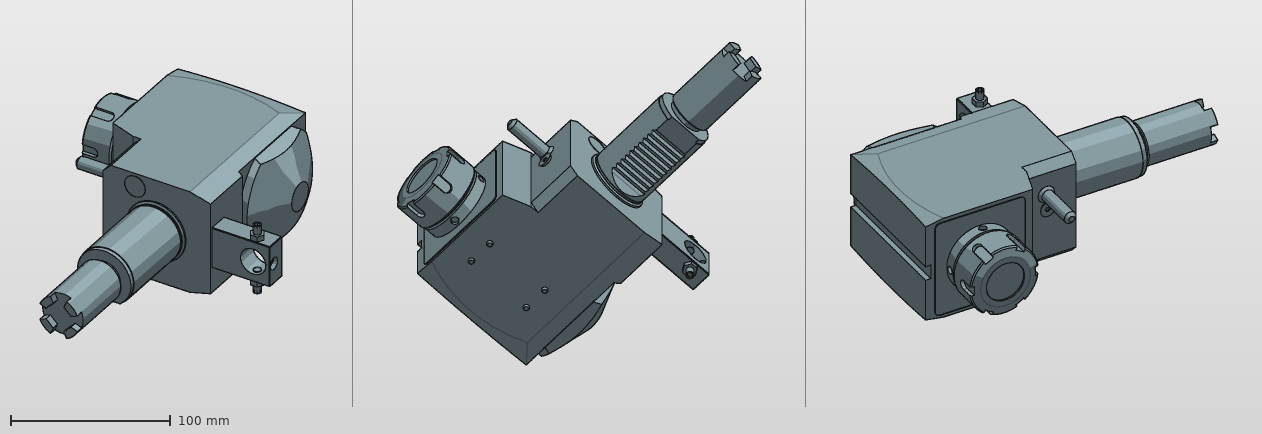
import cadquery as cq
import math


overall_length = 236.5
overall_height = 76.6

housing_height = 75.0
half_height = housing_height / 2
back_y = 119.5
left_x = -58.2
right_x = 35.7
base_half_width = 39.5
head_left_y = 42.0
base_top_left_y = 35.7
head_right_y = 40.0
base_top_right_y = 37.8
base_chamfer = 6.0
bevel_angle = math.radians(15)
bevel_start_x = 24.4
crown_center = (-17.0, 7.8)
crown_radius = 107.0
crown_angle = math.radians(10.5)
crown_reach = 47.3
back_groove_width = 10.2
back_groove_depth = 3.8
plug_center = (-16.0, 27.7)
plug_radius = 7.5
plug_recess = 0.2

spindle_y = 80.7

plate_front_y = 47.8
plate_back_y = 112.8
plate_half_height = 34.8
plate_corner = 3.5
plate_thickness = 0.7

nut_face_x = -91.0
nut_edge_x = -90.0
nut_rear_x = -69.5
nut_chamfer_x = -68.4
collar_front_x = -66.7
nut_radius = 24.8
nut_rear_radius = 24.0
nut_face_radius = 18.0
nut_edge_round = 1.0
neck_radius = 20.3
collar_radius = 24.0
collet_radius = 13.7
collet_recess = 1.2
nut_slot_count = 6
nut_slot_width = 6.6
nut_slot_end_x = -77.8
nut_long_slot_end_x = -73.8
nut_long_slots = (4, 5)
nut_slot_depth = 2.8
collar_hole_count = 4
collar_hole_radius = 2.5
collar_hole_depth = 2.8
collar_hole_x = -62.7

cap_radius = 40.2
cap_cone_x = 41.5
cap_tip_x = 55.5
cap_tip_radius = 10.0
cap_flat = 31.0
cap_flat_edge_x = 46.4

flange_radius = 21.5
flange_rim = 1.2
flange_length = 2.1
relief_end = 3.5
relief_radius = 19.6
shank_radius = 20.0
shank_end = 62.7
shank_tail = 3.0
shank_tail_radius = 19.6
shaft_neck_radius = 12.0
shaft_start = 66.2
shaft_radius = 15.0
shaft_chamfer = 0.7
shaft_end = 112.0
dog_end = overall_length - back_y
dog_inner_radius = 10.0
dog_half_angle = math.radians(22)
dog_count = 4

flat_depth_z = 15.8
tooth_start = 9.0
tooth_count = 10
tooth_pitch = 4.0
tooth_depth = 1.2

pin_y = 21.5
pin_z = 15.5
pin_radius = 4.3
pin_tip_x = -71.5
pin_chamfer = 2.1
pin_collar_radius = 6.0
screw_z = 5.2
screw_radius = 5.2
screw_neck_radius = 4.0
screw_socket = 3.3
screw_socket_depth = 1.0
head_height = 2.0

bracket_end_x = 82.0
bracket_y = (1.7, 16.5)
bracket_half_height = 15.0
bracket_edge = 0.5
bracket_bore_x = 69.8
bracket_bore_radius = 9.2
clamp_y = 6.6
end_hole_radius = 4.3
clamp_radius = 2.5
clamp_end_z = 25.0
clamp_tip_z = 8.5
clamp_socket = 3.8
clamp_socket_depth = 2.0
clamp_nut_across_corners = 9.7
clamp_nut_top_z = 18.7

button_center_x = -16.8
button_spacing = (47.3, 16.8)
button_radius = 2.1
button_tip_radius = 1.5
button_height = overall_height - housing_height

hexagon_sides = 6
overlap = 2.4


def revolve_x(profile, y, z):
    """Revolve (x, radius) points about the line along X through (y, z)."""
    solid = cq.Workplane("XY").polyline(profile).close().revolve(360, (0, 0, 0), (1, 0, 0))
    return solid.translate((0, y, z))


def housing():
    outline = [
        (-base_half_width, 0),
        (base_half_width, 0),
        (base_half_width, base_top_right_y),
        (right_x, head_right_y),
        (right_x, back_y),
        (left_x, back_y),
        (left_x, head_left_y),
        (-base_half_width, base_top_left_y),
    ]
    body = cq.Workplane("XY").polyline(outline).close().extrude(half_height, both=True)

    bevel_run = base_half_width + overlap - bevel_start_x
    right_bevel = (
        cq.Workplane("XZ")
        .polyline([
            (bevel_start_x, half_height),
            (bevel_start_x + bevel_run, half_height),
            (bevel_start_x + bevel_run, half_height - bevel_run * math.tan(bevel_angle)),
        ])
        .close()
        .extrude(-back_y)
    )
    base_bevel = (
        cq.Workplane("XZ")
        .polyline([
            (-base_half_width, half_height),
            (-base_half_width + base_chamfer, half_height),
            (-base_half_width, half_height - base_chamfer),
        ])
        .close()
        .extrude(-base_top_left_y)
    )
    crown_bevel = (
        cq.Workplane("XZ")
        .polyline([
            (crown_radius, half_height),
            (crown_radius + crown_reach, half_height),
            (crown_radius + crown_reach, half_height - crown_reach * math.tan(crown_angle)),
        ])
        .close()
        .revolve(360, (0, 0, 0), (0, 1, 0))
        .translate((*crown_center, 0))
    )
    for bevel in (right_bevel, base_bevel, crown_bevel):
        body = body.cut(bevel).cut(bevel.mirror("XY"))

    groove = cq.Workplane("XY").box(
        right_x - left_x, 2 * back_groove_depth, back_groove_width
    ).translate(((left_x + right_x) / 2, back_y, 0))
    plug = cq.Workplane("XZ").center(*plug_center).circle(plug_radius).extrude(-plug_recess)
    return body.cut(groove).cut(plug)


def face_plate():
    plate = cq.Workplane("XY").box(
        plate_thickness + overlap, plate_back_y - plate_front_y, 2 * plate_half_height
    ).edges("|X").fillet(plate_corner)
    return plate.translate((
        left_x + (overlap - plate_thickness) / 2,
        (plate_front_y + plate_back_y) / 2,
        0,
    ))


def collet_nut():
    root_x = left_x + overlap
    nut = revolve_x([
        (nut_face_x + collet_recess, 0),
        (nut_face_x + collet_recess, collet_radius),
        (nut_face_x, collet_radius),
        (nut_face_x, nut_face_radius),
        (nut_edge_x, nut_radius - nut_edge_round),
        (nut_edge_x + nut_edge_round, nut_radius),
        (nut_rear_x, nut_radius),
        (nut_chamfer_x, nut_rear_radius),
        (nut_chamfer_x, neck_radius),
        (collar_front_x, neck_radius),
        (collar_front_x, collar_radius),
        (root_x, collar_radius),
        (root_x, 0),
    ], 0, 0)

    slot_step = 360 / nut_slot_count
    for i in range(nut_slot_count):
        end_x = nut_long_slot_end_x if i in nut_long_slots else nut_slot_end_x
        nut = nut.cut(nut_slot(end_x).rotate((0, 0, 0), (1, 0, 0), i * slot_step))

    hole = (
        cq.Workplane("XZ", origin=(0, collar_hole_depth - collar_radius, 0))
        .center(collar_hole_x, 0)
        .circle(collar_hole_radius)
        .extrude(collar_hole_depth + overlap)
    )
    for i in range(collar_hole_count):
        nut = nut.cut(hole.rotate((0, 0, 0), (1, 0, 0), i * 360 / collar_hole_count))
    return nut.translate((0, spindle_y, 0))


def nut_slot(end_x):
    """Cutter for a round-ended spanner slot on the -Y side of the nut, open to the nut face."""
    slot_center_x = end_x - nut_slot_width / 2
    slot_open_x = nut_face_x - overlap
    return (
        cq.Workplane("XZ", origin=(0, nut_slot_depth - nut_radius, 0))
        .moveTo(slot_open_x, -nut_slot_width / 2)
        .lineTo(slot_center_x, -nut_slot_width / 2)
        .threePointArc((end_x, 0), (slot_center_x, nut_slot_width / 2))
        .lineTo(slot_open_x, nut_slot_width / 2)
        .close()
        .extrude(nut_slot_depth + overlap)
    )


def cap():
    root_x = right_x - overlap
    cone = revolve_x([
        (root_x, 0),
        (root_x, cap_radius),
        (cap_cone_x, cap_radius),
        (cap_tip_x, cap_tip_radius),
        (cap_tip_x, 0),
    ], 0, 0)
    root_half = cap_flat + (cap_flat_edge_x - root_x) * math.tan(bevel_angle)
    tip_half = cap_flat - (cap_tip_x - cap_flat_edge_x) * math.tan(bevel_angle)
    envelope = (
        cq.Workplane("XZ", origin=(0, cap_flat, 0))
        .polyline([
            (root_x, root_half),
            (cap_tip_x, tip_half),
            (cap_tip_x, -tip_half),
            (root_x, -root_half),
        ])
        .close()
        .extrude(cap_flat + cap_radius)
    )
    return cone.intersect(envelope).translate((0, spindle_y, 0))


def shank():
    tail_start = shank_end - shank_tail
    sleeve = (
        cq.Workplane("XY")
        .polyline([
            (0, overlap),
            (flange_radius, overlap),
            (flange_radius, -flange_rim),
            (shank_radius, -flange_length),
            (relief_radius, -flange_length),
            (relief_radius, -relief_end),
            (shank_radius, -relief_end),
            (shank_radius, -tail_start),
            (shank_tail_radius, -tail_start),
            (shank_tail_radius, -shank_end),
            (0, -shank_end),
        ])
        .close()
        .revolve(360, (0, 0, 0), (0, 1, 0))
    )
    return sleeve.cut(toothed_flat()).union(drive_shaft())


def toothed_flat():
    """Material removed below the shank, with V grooves cut above the flat."""
    run_in = shank_radius + overlap - flat_depth_z
    outline = [(-tooth_start + run_in, -flat_depth_z - run_in), (-tooth_start, -flat_depth_z)]
    for i in range(tooth_count):
        y = -tooth_start - i * tooth_pitch
        outline.append((y - tooth_pitch / 2, -flat_depth_z + tooth_depth))
        outline.append((y - tooth_pitch, -flat_depth_z))
    outline.append((-shank_end, -flat_depth_z))
    outline.append((-shank_end, -flat_depth_z - run_in))
    return cq.Workplane("YZ").polyline(outline).close().extrude(shank_radius, both=True)


def drive_shaft():
    shaft = (
        cq.Workplane("XY")
        .polyline([
            (0, -shank_end + overlap),
            (shaft_neck_radius, -shank_end + overlap),
            (shaft_neck_radius, -shaft_start),
            (shaft_radius - shaft_chamfer, -shaft_start),
            (shaft_radius, -shaft_start - shaft_chamfer),
            (shaft_radius, -dog_end),
            (0, -dog_end),
        ])
        .close()
        .revolve(360, (0, 0, 0), (0, 1, 0))
    )

    outline = []
    for i in range(dog_count):
        center_angle = (i + 0.5) * 2 * math.pi / dog_count
        first_side = center_angle - dog_half_angle
        second_side = center_angle + dog_half_angle
        for radius, angle in (
            (shaft_radius + overlap, first_side),
            (dog_inner_radius, first_side),
            (dog_inner_radius, second_side),
            (shaft_radius + overlap, second_side),
        ):
            outline.append((radius * math.cos(angle), radius * math.sin(angle)))
    gaps = (
        cq.Workplane("XZ", origin=(0, -shaft_end, 0))
        .polyline(outline)
        .close()
        .extrude(dog_end - shaft_end)
    )
    return shaft.cut(gaps)


def locating_pin():
    root_x = -base_half_width + overlap
    collar_x = -base_half_width - head_height
    return revolve_x([
        (pin_tip_x, 0),
        (pin_tip_x, pin_radius - pin_chamfer),
        (pin_tip_x + pin_chamfer, pin_radius),
        (collar_x, pin_radius),
        (-base_half_width, pin_collar_radius),
        (root_x, pin_collar_radius),
        (root_x, 0),
    ], pin_y, pin_z)


def base_screw():
    root_x = -base_half_width + overlap
    head_x = -base_half_width - head_height
    head = revolve_x([
        (head_x, 0),
        (head_x, screw_radius),
        (-base_half_width, screw_neck_radius),
        (root_x, screw_neck_radius),
        (root_x, 0),
    ], pin_y, screw_z)
    socket = (
        cq.Workplane("YZ", origin=(head_x, pin_y, screw_z))
        .polygon(hexagon_sides, screw_socket)
        .extrude(screw_socket_depth)
    )
    return head.cut(socket)


def bracket():
    front_y, rear_y = bracket_y
    root_x = base_half_width - overlap
    arm = (
        cq.Workplane("XY")
        .box(bracket_end_x - root_x, rear_y - front_y, 2 * bracket_half_height)
        .edges()
        .chamfer(bracket_edge)
        .translate(((root_x + bracket_end_x) / 2, (front_y + rear_y) / 2, 0))
    )
    bore = (
        cq.Workplane("XZ")
        .center(bracket_bore_x, 0)
        .circle(bracket_bore_radius)
        .extrude(-rear_y)
    )
    end_hole = (
        cq.Workplane("YZ", origin=(bracket_bore_x, clamp_y, 0))
        .circle(end_hole_radius)
        .extrude(bracket_end_x - bracket_bore_x)
    )
    arm = arm.cut(bore).cut(end_hole)
    clamp = clamp_screw()
    return arm.union(clamp).union(clamp.mirror("XY"))


def clamp_screw():
    """Upper set screw and its hexagon nut, reaching into the bracket bore."""
    root_z = bracket_half_height - overlap
    place = (bracket_bore_x, clamp_y)
    screw = (
        cq.Workplane("XY", origin=(*place, clamp_tip_z))
        .circle(clamp_radius)
        .extrude(clamp_end_z - clamp_tip_z)
    )
    nut = (
        cq.Workplane("XY", origin=(*place, root_z))
        .polygon(hexagon_sides, clamp_nut_across_corners)
        .extrude(clamp_nut_top_z - root_z)
    )
    socket = (
        cq.Workplane("XY", origin=(*place, clamp_end_z))
        .polygon(hexagon_sides, clamp_socket)
        .extrude(-clamp_socket_depth)
    )
    return screw.union(nut).cut(socket)


def add_buttons(body):
    """Add four small tapered buttons on the underside, centred below the spindle."""
    button = (
        cq.Workplane("XZ")
        .polyline([
            (0, -half_height + overlap),
            (button_radius, -half_height + overlap),
            (button_radius, -half_height),
            (button_tip_radius, -half_height - button_height),
            (0, -half_height - button_height),
        ])
        .close()
        .revolve(360, (0, 0, 0), (0, 1, 0))
        .val()
    )
    spots = cq.Workplane("XY", origin=(button_center_x, spindle_y, 0)).rarray(*button_spacing, 2, 2)
    return body.union(spots.eachpoint(lambda spot: button.moved(spot)))


result = housing()
for feature in (face_plate, collet_nut, cap, shank, locating_pin, base_screw, bracket):
    result = result.union(feature())
result = add_buttons(result)